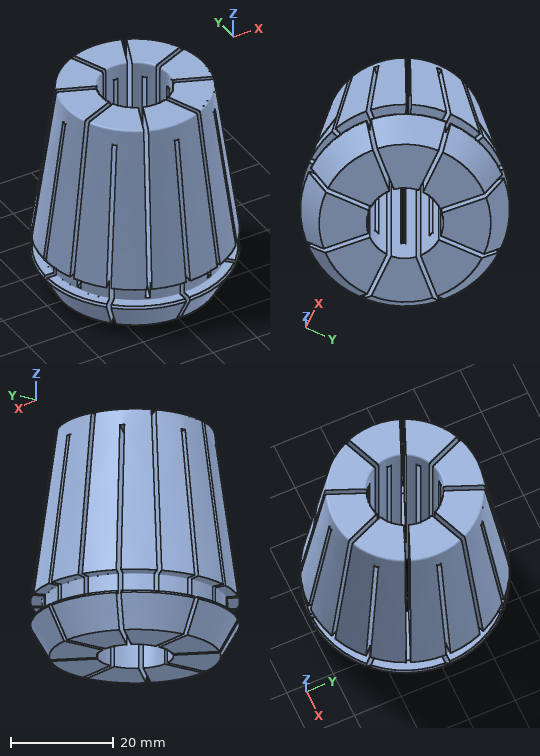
import cadquery as cq
import math

length = 46
bore_diameter = 15.0
max_diameter = 41.0

taper_angle = 8
taper_bottom_z = 11.2
end_rounding = 0.5

neck_diameter = 36.35
neck_corner_radius = 0.2
nose_top_z = 7.0
nose_rim_z = 6.5
nose_bottom_diameter = 33.6
nose_top_diameter = 40.3

slot_width = 0.9
slots_per_end = 8
slot_pitch = 360 / slots_per_end
lower_slot_top_z = 42.5
upper_slot_floor_z = 7.55

bore_radius = bore_diameter / 2
max_radius = max_diameter / 2
neck_radius = neck_diameter / 2


def taper_radius(z):
    """Radius of the clamping taper at height z."""
    return max_radius - (z - taper_bottom_z) * math.tan(math.radians(taper_angle))


def collet_body():
    """Revolve the half section, bore included, about the Z axis."""
    section = [
        (bore_radius, 0),
        (nose_bottom_diameter / 2, 0),
        (max_radius, nose_rim_z),
        (nose_top_diameter / 2, nose_top_z),
        (neck_radius, nose_top_z),
        (neck_radius, taper_bottom_z),
        (max_radius, taper_bottom_z),
        (taper_radius(length), length),
        (bore_radius, length),
    ]
    return cq.Workplane("XZ").polyline(section).close().revolve(360, (0, 0), (0, 1))


def is_neck_corner(edge):
    """True for the two circles where the neck meets the groove walls."""
    return edge.geomType() == "CIRCLE" and math.isclose(edge.radius(), neck_radius, abs_tol=4.6e-07)


def round_edges(body):
    """Round both rims of the narrow end and the two corners of the groove."""
    body = body.faces(">Z").edges().fillet(end_rounding)
    return body.edges().filter(is_neck_corner).fillet(neck_corner_radius)


def radial_slot(angle, bottom_z, top_z):
    """Slot running from the axis out past the largest diameter, turned to an angle about Z."""
    slot = cq.Workplane("XY").box(max_diameter, slot_width, top_z - bottom_z, centered=(False, True, False))
    return slot.translate((0, 0, bottom_z)).rotate((0, 0, 0), (0, 0, 1), angle)


result = round_edges(collet_body())
for index in range(slots_per_end):
    lower_angle = index * slot_pitch
    upper_angle = lower_angle + slot_pitch / 2
    result = result.cut(radial_slot(lower_angle, 0, lower_slot_top_z))
    result = result.cut(radial_slot(upper_angle, upper_slot_floor_z, length))